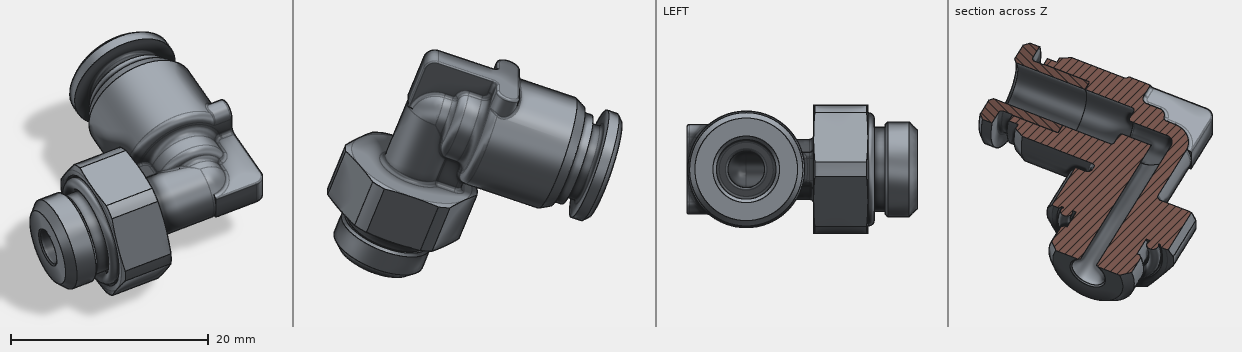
import cadquery as cq
import math


BORE_RADIUS = 1.85
BORE_CHAMFER = 0.15

SLEEVE_FACE_X = -18.23
FLANGE_RADIUS = 5.73
FLANGE_CHAMFER = 0.53
FLANGE_LENGTH = 1.62
SLEEVE_NECK_RADIUS = 3.95
SLEEVE_NECK_FILLET = 0.33
SLEEVE_BORE_RADIUS = 3.02
SLEEVE_MOUTH_CHAMFER = 0.35
SLEEVE_LENGTH = 8.1
SLEEVE_END_X = SLEEVE_FACE_X + SLEEVE_LENGTH

COLLAR_OFFSET = 2.97
COLLAR_FACE_X = SLEEVE_FACE_X + COLLAR_OFFSET
COLLAR_RADIUS = 4.77
COLLAR_LENGTH = 1.06
BARREL_RADIUS = 5.9
BARREL_LEAD_RADIUS = 5.32
BARREL_LEAD_LENGTH = 1.1
SHOULDER_X = -4.44
SHOULDER_ROUND = 0.8
STEP_RADIUS = 4.03
STEP_END_X = -2.2
STEP_ROUND = 0.85
STEP_FLARE = 0.53
SOCKET_FLOOR_X = SHOULDER_X
SOCKET_FLOOR_FILLET = 0.28
SOCKET_BORE_ROUND = 0.25

PIPE_RADIUS = 3.05
BACK_Y = 6.0
WEB_HALF_THICKNESS = 1.42
WEB_CORNER_RADIUS = 1.17
WEB_EDGE_ROUND = 0.15
WEB_FOOT_Y = 0.25
WEB_FILLET = 0.45
BOSS_HALF_HEIGHT = 4.55
BOSS_ROUND = 1.25
BOSS_FOOT_Y = 2.03
BOSS_FILLET = 0.3
BOSS_EDGE_ROUND = 0.25
RIB_LEFT_X = -5.2
RIB_HALF_THICKNESS = 1.72
RIB_EDGE_ROUND = 0.6
RIB_FILLET = 0.3
RIB_PIPE_FILLET = 0.2

OVERALL_Y = 23.35
HEX_ACROSS_FLATS = 13.0
HEX_CORNER_RADIUS = 7.12
HEX_BACK_Y = -6.82
HEX_LENGTH = 5.48
HEX_CHAMFER_DEPTH = 0.13
HEX_FRONT_Y = HEX_BACK_Y - HEX_LENGTH
ROOT_DEPTH = 0.5
ROOT_Y = HEX_BACK_Y - ROOT_DEPTH
NECK_FILLET = 0.43
RELIEF_RADIUS = 4.28
THREAD_RADIUS = 4.82
THREAD_START_Y = -14.05
THREAD_START_CHAMFER = 0.28
THREAD_END_CHAMFER = 0.85
STUD_END_Y = BACK_Y - OVERALL_Y
BEAD_RADIUS = 0.6
BEAD_RING_RADIUS = 5.12
BEAD_OFFSET = 0.05
BEAD_Y = HEX_FRONT_Y - BEAD_OFFSET
RECESS_RADIUS = 5.95
RECESS_DEPTH = 0.3
RECESS_TAPER = 0.18


def spin_about_x(profile):
    """Revolve a closed (x, radius) profile about the tube port axis."""
    return profile.close().revolve(360, (0, 0, 0), (1, 0, 0))


def spin_about_y(points):
    """Revolve a closed (radius, y) polygon about the stud axis."""
    return cq.Workplane("XY").polyline(points).close().revolve(360, (0, 0, 0), (0, 1, 0))


def rod_x(radius, start_x, end_x):
    return cq.Workplane("YZ", origin=(start_x, 0, 0)).circle(radius).extrude(end_x - start_x)


def rod_y(radius, top_y, bottom_y):
    return cq.Workplane("XZ", origin=(0, top_y, 0)).circle(radius).extrude(top_y - bottom_y)


def edges_near(body, *points):
    """The edge nearest to each point, on one stack."""
    found = [body.edges(cq.selectors.NearestToPointSelector(point)).val() for point in points]
    return body.newObject(found)


def make_sleeve():
    flange_back_x = SLEEVE_FACE_X + FLANGE_LENGTH
    profile = (
        cq.Workplane("XZ")
        .moveTo(SLEEVE_FACE_X, SLEEVE_BORE_RADIUS + SLEEVE_MOUTH_CHAMFER)
        .lineTo(SLEEVE_FACE_X, FLANGE_RADIUS - FLANGE_CHAMFER)
        .lineTo(SLEEVE_FACE_X + FLANGE_CHAMFER, FLANGE_RADIUS)
        .lineTo(flange_back_x, FLANGE_RADIUS)
        .lineTo(flange_back_x, SLEEVE_NECK_RADIUS + SLEEVE_NECK_FILLET)
        .radiusArc((flange_back_x + SLEEVE_NECK_FILLET, SLEEVE_NECK_RADIUS), -SLEEVE_NECK_FILLET)
        .lineTo(SLEEVE_END_X, SLEEVE_NECK_RADIUS)
        .lineTo(SLEEVE_END_X, SLEEVE_BORE_RADIUS)
        .lineTo(SLEEVE_FACE_X + SLEEVE_MOUTH_CHAMFER, SLEEVE_BORE_RADIUS)
    )
    return spin_about_x(profile)


def make_barrel():
    """Collar, barrel, rounded shoulder and the smaller step that flares into the elbow pipe."""
    barrel_front_x = COLLAR_FACE_X + COLLAR_LENGTH
    round_radius = STEP_RADIUS - STEP_ROUND
    center_distance = STEP_ROUND + STEP_FLARE
    radial_offset = PIPE_RADIUS + STEP_FLARE - round_radius
    axial_offset = math.sqrt(center_distance**2 - radial_offset**2)
    flare_end_x = STEP_END_X + axial_offset
    tangent_x = STEP_END_X + axial_offset * STEP_ROUND / center_distance
    tangent_radius = round_radius + radial_offset * STEP_ROUND / center_distance
    profile = (
        cq.Workplane("XZ")
        .moveTo(COLLAR_FACE_X, 0)
        .lineTo(COLLAR_FACE_X, COLLAR_RADIUS)
        .lineTo(barrel_front_x, COLLAR_RADIUS)
        .lineTo(barrel_front_x, BARREL_LEAD_RADIUS)
        .lineTo(barrel_front_x + BARREL_LEAD_LENGTH, BARREL_RADIUS)
        .lineTo(SHOULDER_X - SHOULDER_ROUND, BARREL_RADIUS)
        .radiusArc((SHOULDER_X, BARREL_RADIUS - SHOULDER_ROUND), SHOULDER_ROUND)
        .lineTo(SHOULDER_X, STEP_RADIUS + SHOULDER_ROUND)
        .radiusArc((SHOULDER_X + SHOULDER_ROUND, STEP_RADIUS), -SHOULDER_ROUND)
        .lineTo(STEP_END_X, STEP_RADIUS)
        .radiusArc((tangent_x, tangent_radius), STEP_ROUND)
        .radiusArc((flare_end_x, PIPE_RADIUS), -STEP_FLARE)
        .lineTo(flare_end_x, 0)
    )
    return spin_about_x(profile)


def make_pipe():
    """Right-angle pipe with a ball corner, rooted inside the hexagon."""
    corner = cq.Workplane("XY").sphere(PIPE_RADIUS)
    port_run = rod_x(PIPE_RADIUS, SHOULDER_X - SHOULDER_ROUND, 0)
    stud_run = rod_y(PIPE_RADIUS, 0, ROOT_Y)
    return port_run.union(stud_run).union(corner)


def make_web():
    """Plate filling the outside of the corner, flush with the pipe on its far side."""
    return (
        cq.Workplane("XY", origin=(SHOULDER_X - BOSS_ROUND, WEB_FOOT_Y, 0))
        .box(
            PIPE_RADIUS - SHOULDER_X + BOSS_ROUND,
            BACK_Y - WEB_FOOT_Y,
            2 * WEB_HALF_THICKNESS,
            centered=(False, False, True),
        )
        .edges("|Z and >X and >Y")
        .fillet(WEB_CORNER_RADIUS)
    )


def make_boss():
    """Upright slot-shaped block behind the barrel, flush with its shoulder."""
    return (
        cq.Workplane("XZ", origin=(SHOULDER_X - BOSS_ROUND, BACK_Y, 0))
        .slot2D(2 * BOSS_HALF_HEIGHT, 2 * BOSS_ROUND, 90)
        .extrude(BACK_Y - BOSS_FOOT_Y)
        .faces(">Y")
        .edges()
        .fillet(BOSS_EDGE_ROUND)
    )


def make_rib():
    """Short rib between the barrel and the hexagon, rooted inside the hexagon."""
    return (
        cq.Workplane("XY", origin=(RIB_LEFT_X, ROOT_Y, 0))
        .box(-RIB_LEFT_X, -ROOT_Y, 2 * RIB_HALF_THICKNESS, centered=(False, False, True))
        .edges("|Y and <X")
        .fillet(RIB_EDGE_ROUND)
    )


def make_elbow():
    """Barrel, pipe, web, boss and rib with blended joints; a fillet follows its whole tangent chain."""
    elbow = make_barrel().union(make_pipe()).union(make_web()).union(make_boss())

    for web_face_z in (-WEB_HALF_THICKNESS, WEB_HALF_THICKNESS):
        elbow = edges_near(elbow, (STEP_END_X, STEP_RADIUS, web_face_z)).fillet(WEB_FILLET)

    boss_joint_y = math.sqrt(BARREL_RADIUS**2 - BOSS_HALF_HEIGHT**2)
    boss_joint = (SHOULDER_X - 2 * BOSS_ROUND, boss_joint_y, BOSS_HALF_HEIGHT)
    elbow = edges_near(elbow, boss_joint).fillet(BOSS_FILLET)

    web_edges = [
        (x, y, z)
        for x, y in ((0, BACK_Y), (PIPE_RADIUS, BACK_Y / 2))
        for z in (-WEB_HALF_THICKNESS, WEB_HALF_THICKNESS)
    ]
    elbow = edges_near(elbow, *web_edges).fillet(WEB_EDGE_ROUND)

    elbow = elbow.union(make_rib())
    elbow = edges_near(elbow, (RIB_LEFT_X, -BARREL_RADIUS, 0)).fillet(RIB_FILLET)
    pipe_side_x = -math.sqrt(PIPE_RADIUS**2 - RIB_HALF_THICKNESS**2)
    rib_mid_y = (HEX_BACK_Y - STEP_RADIUS) / 2
    pipe_joints = [(pipe_side_x, rib_mid_y, z) for z in (-RIB_HALF_THICKNESS, RIB_HALF_THICKNESS)]
    return edges_near(elbow, *pipe_joints).fillet(RIB_PIPE_FILLET)


def make_hexagon():
    """Hexagon with turned-down corners and a shallow cone at both ends."""
    corner_diameter = HEX_ACROSS_FLATS / math.cos(math.pi / 6)
    prism = cq.Workplane("XZ", origin=(0, HEX_BACK_Y, 0)).polygon(6, corner_diameter).extrude(HEX_LENGTH)
    face_radius = HEX_ACROSS_FLATS / 2
    turned = spin_about_y([
        (0, HEX_BACK_Y),
        (face_radius, HEX_BACK_Y),
        (HEX_CORNER_RADIUS, HEX_BACK_Y - HEX_CHAMFER_DEPTH),
        (HEX_CORNER_RADIUS, HEX_FRONT_Y + HEX_CHAMFER_DEPTH),
        (face_radius, HEX_FRONT_Y),
        (0, HEX_FRONT_Y),
    ])
    return prism.intersect(turned)


def make_recess():
    """Tapered ring recess in the hexagon's front face."""
    floor_y = HEX_FRONT_Y + RECESS_DEPTH
    return spin_about_y([
        (RELIEF_RADIUS, HEX_FRONT_Y),
        (RECESS_RADIUS, HEX_FRONT_Y),
        (RECESS_RADIUS - RECESS_TAPER, floor_y),
        (RELIEF_RADIUS, floor_y),
    ])


def make_bead():
    """Round sealing bead standing in the recess."""
    ring = cq.Workplane("XY").center(BEAD_RING_RADIUS, BEAD_Y).circle(BEAD_RADIUS)
    return ring.revolve(360, (-BEAD_RING_RADIUS, 0, 0), (-BEAD_RING_RADIUS, 1, 0))


def make_stud():
    return spin_about_y([
        (0, HEX_BACK_Y),
        (RELIEF_RADIUS, HEX_BACK_Y),
        (RELIEF_RADIUS, THREAD_START_Y),
        (THREAD_RADIUS - THREAD_START_CHAMFER, THREAD_START_Y),
        (THREAD_RADIUS, THREAD_START_Y - THREAD_START_CHAMFER),
        (THREAD_RADIUS, STUD_END_Y + THREAD_END_CHAMFER),
        (THREAD_RADIUS - THREAD_END_CHAMFER, STUD_END_Y),
        (0, STUD_END_Y),
    ])


def make_passage():
    """Stud bore, ball corner and tube port bore as one cutter."""
    stud_bore = spin_about_y([
        (0, 0),
        (BORE_RADIUS, 0),
        (BORE_RADIUS, STUD_END_Y + BORE_CHAMFER),
        (BORE_RADIUS + BORE_CHAMFER, STUD_END_Y),
        (0, STUD_END_Y),
    ])
    corner = cq.Workplane("XY").sphere(BORE_RADIUS)
    return stud_bore.union(rod_x(BORE_RADIUS, SOCKET_FLOOR_X, 0)).union(corner)


def make_socket():
    """Tube socket with the seat for the release sleeve, as a cutter."""
    profile = (
        cq.Workplane("XZ")
        .moveTo(COLLAR_FACE_X, 0)
        .lineTo(COLLAR_FACE_X, SLEEVE_NECK_RADIUS)
        .lineTo(SLEEVE_END_X, SLEEVE_NECK_RADIUS)
        .lineTo(SLEEVE_END_X, SLEEVE_BORE_RADIUS)
        .lineTo(SOCKET_FLOOR_X - SOCKET_FLOOR_FILLET, SLEEVE_BORE_RADIUS)
        .radiusArc((SOCKET_FLOOR_X, SLEEVE_BORE_RADIUS - SOCKET_FLOOR_FILLET), SOCKET_FLOOR_FILLET)
        .lineTo(SOCKET_FLOOR_X, BORE_RADIUS + SOCKET_BORE_ROUND)
        .radiusArc((SOCKET_FLOOR_X + SOCKET_BORE_ROUND, BORE_RADIUS), -SOCKET_BORE_ROUND)
        .lineTo(SOCKET_FLOOR_X + SOCKET_BORE_ROUND, 0)
    )
    return spin_about_x(profile)


def make_housing():
    stud = make_hexagon().cut(make_recess()).union(make_stud()).union(make_bead())
    housing = make_elbow().union(stud)
    housing = edges_near(housing, (PIPE_RADIUS, HEX_BACK_Y, 0)).fillet(NECK_FILLET)
    return housing.cut(make_passage()).cut(make_socket())


sleeve = make_sleeve()
housing = make_housing()
result = cq.Compound.makeCompound([housing.val(), sleeve.val()])